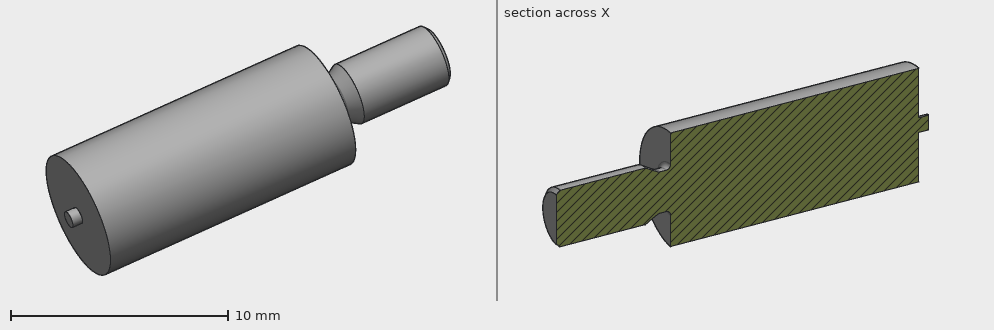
import cadquery as cq
import math

total_length = 19.5
body_diameter = 6.0
body_length = 13.0
pin_diameter = 0.8
pin_length = 0.5
shank_diameter = 3.0
shank_chamfer = 0.2
neck_diameter = 2.2
neck_fillet = 0.23
undercut_length = 1.3
runout_angle = math.radians(30)

body_radius = body_diameter / 2
pin_radius = pin_diameter / 2
shank_radius = shank_diameter / 2
neck_radius = neck_diameter / 2

pin_tip = -pin_length
shank_end = total_length - pin_length
undercut_end = body_length + undercut_length
neck_start = body_length + neck_fillet

arc_end_radius = neck_radius + neck_fillet * (1 - math.cos(runout_angle))
cone_length = (shank_radius - arc_end_radius) / math.tan(runout_angle)
cone_start = undercut_end - cone_length
neck_end = cone_start - neck_fillet * math.sin(runout_angle)


def fillet_point(tangent_y, direction, angle):
    """Point on a neck fillet, turned by angle from its tangent point on the neck."""
    radius = neck_radius + neck_fillet * (1 - math.cos(angle))
    return radius, tangent_y + direction * neck_fillet * math.sin(angle)


half_section = (
    cq.Workplane("XY")
    .moveTo(0, pin_tip)
    .lineTo(pin_radius, pin_tip)
    .lineTo(pin_radius, 0)
    .lineTo(body_radius, 0)
    .lineTo(body_radius, body_length)
    .lineTo(neck_radius + neck_fillet, body_length)
    .threePointArc(fillet_point(neck_start, -1, math.pi / 4), (neck_radius, neck_start))
    .lineTo(neck_radius, neck_end)
    .threePointArc(fillet_point(neck_end, 1, runout_angle / 2), (arc_end_radius, cone_start))
    .lineTo(shank_radius, undercut_end)
    .lineTo(shank_radius, shank_end - shank_chamfer)
    .lineTo(shank_radius - shank_chamfer, shank_end)
    .lineTo(0, shank_end)
    .close()
)

result = half_section.revolve(360, (0, 0, 0), (0, 1, 0))